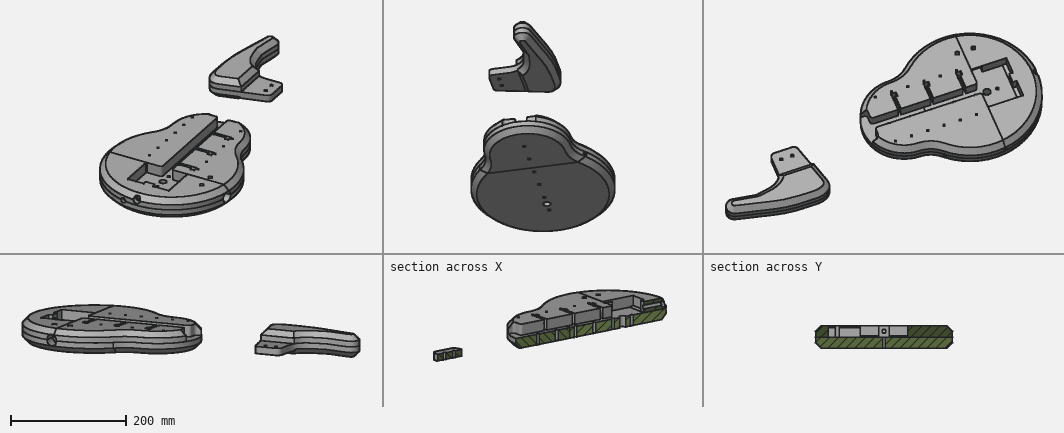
import cadquery as cq
import math

TOTAL_LENGTH = 604.0
BODY_WIDTH = 250.0
HEIGHT = 40.0
SEAM_Z = HEIGHT / 2
CHAMFER = HEIGHT / 4
WALL_TOP_Z = HEIGHT - CHAMFER
TAIL_Y = -TOTAL_LENGTH / 2
TIP_Y = TOTAL_LENGTH / 2

LOWER_RADIUS = BODY_WIDTH / 2
UPPER_RADIUS = 76.0
CENTRE_DISTANCE = 122.5
LOWER_CENTRE_Y = TAIL_Y + LOWER_RADIUS
UPPER_CENTRE_Y = LOWER_CENTRE_Y + CENTRE_DISTANCE
NECK_RADIUS = (CENTRE_DISTANCE**2 + UPPER_RADIUS**2 - LOWER_RADIUS**2) / (2 * (LOWER_RADIUS - UPPER_RADIUS))

UPPER_SEAM_Y = -194.5
LOWER_SEAM_Y = -94.0
SEAM_HOLE_DIAMETER = 4.0
SEAM_HOLE_DEPTH = 6.0
UPPER_SEAM_HOLE_Z = 26.0
LOWER_SEAM_HOLE_Z = (CHAMFER + SEAM_Z) / 2

CHANNEL_WIDTH = 20.0
CHANNEL_CORNER_RADIUS = 5.0
HEAD_RECESS_WIDTH = 60.0
HEAD_RECESS_Y = 3.5
POCKET_WIDTH = 82.0
POCKET_FRONT_Y = -260.0
POCKET_CORNER = 2.5
TONGUE_WIDTH = 18.0
TONGUE_LENGTH = 7.0
RAMP_LENGTH = 7.0
RAMP_HEIGHT = 2.0

CHANNEL_HOLE_COUNT = 6
CHANNEL_HOLE_FIRST_Y = -26.5
CHANNEL_HOLE_LAST_Y = -227.5
SCREW_HOLE_DIAMETER = 5.0
CENTRE_HOLE_DIAMETER = 12.5
CENTRE_HOLE_Y = -208.5
PIN_HOLE_X = 48.5
PIN_HOLE_COUNT = 6
PIN_HOLE_FIRST_Y = -19.5
PIN_HOLE_PITCH = 30.0
PIN_HOLE_DIAMETER = 3.0
CONTROL_HOLE_X = 81.0
CONTROL_HOLE_DIAMETER = 7.0
CONTROL_HOLE_REAR_Y = -184.0
CONTROL_HOLE_FRONT_Y = -214.5
PORT_DIAMETER = 12.5
PORT_DEPTH = 9.5
PORT_BORE_DIAMETER = 6.0
CABLE_HOLE_X = -28.5
CABLE_HOLE_DIAMETER = 9.5
CABLE_HOLE_DEPTH = 12.0
JACK_HOLE_DIAMETER = HEIGHT - 2 * CHAMFER
CAVITY_LENGTH = 55.5
CAVITY_FRONT_Y = -215.5
CAVITY_TOP_Z = 36.0

HOOK_SLOT_WIDTH = 5.5
HOOK_MOUTH_END_X = 17.0
HOOK_SLOT_END_X = 44.5
HOOK_SLOT_FLOOR_Z = 30.0
HOOK_SEAT_START_X = 37.0
HOOK_STEP_X = 41.0
HOOK_STEP_Z = 25.5
HOOK_SEAT_DROP = 6.5

WING_TIP_RADIUS = 15.0
WING_TIP_X = -66.5
WING_TIP_CENTRE_Y = TIP_Y - WING_TIP_RADIUS
WING_BLOCK_END_X = -34.5
WING_OUTER_LEAN = 13.2
WING_INNER_LEAN = 9.0
WING_OUTER_POINTS = ((-91.0, 247.0), (-100.0, 205.0), (-102.5, 159.0), (-98.0, 128.5), (-87.5, 118.5))
WING_FRONT_START = (-72.0, 118.5)
WING_INNER_POINTS = ((-35.0, 192.5), (-48.0, 203.5), (-57.5, 238.5))
WING_INNER_START_X = -19.5
TAB_END_X = 16.5
TAB_UNDERSIDE_Z = 7.0
TAB_CORNER_RADIUS = 8.5
TAB_FRONT_Y = 141.0
TAB_REAR_Y = 189.5
TAB_HOLE_YS = (154.0, 174.5)

FAR = TOTAL_LENGTH


def box(x0, x1, y0, y1, z0, z1):
    return cq.Workplane("XY").box(x1 - x0, y1 - y0, z1 - z0, centered=False).translate((x0, y0, z0))


def upright_hole(x, y, diameter, z0=0.0, z1=HEIGHT):
    return cq.Workplane("XY", origin=(x, y, z0)).circle(diameter / 2).extrude(z1 - z0)


def hole_along_y(x, z, diameter, y0, y1):
    return cq.Workplane("XZ", origin=(x, y0, z)).circle(diameter / 2).extrude(y0 - y1)


def hole_along_x(y, z, diameter, x0, x1):
    return cq.Workplane("YZ", origin=(x0, y, z)).circle(diameter / 2).extrude(x1 - x0)


def lower_circle_x(y):
    """Half width of the lower circle at a given Y."""
    return math.sqrt(LOWER_RADIUS**2 - (y - LOWER_CENTRE_Y) ** 2)



def body_outline(z):
    neck_x = UPPER_RADIUS + NECK_RADIUS
    share = LOWER_RADIUS / (LOWER_RADIUS + NECK_RADIUS)
    touch_x = neck_x * share
    touch_y = LOWER_CENTRE_Y + CENTRE_DISTANCE * share
    half_turn = math.atan2(CENTRE_DISTANCE, neck_x) / 2
    mid_x = neck_x - NECK_RADIUS * math.cos(half_turn)
    mid_y = UPPER_CENTRE_Y - NECK_RADIUS * math.sin(half_turn)
    return (
        cq.Workplane("XY", origin=(0, 0, z))
        .moveTo(-touch_x, touch_y)
        .threePointArc((0, TAIL_Y), (touch_x, touch_y))
        .threePointArc((mid_x, mid_y), (UPPER_RADIUS, UPPER_CENTRE_Y))
        .threePointArc((0, UPPER_CENTRE_Y + UPPER_RADIUS), (-UPPER_RADIUS, UPPER_CENTRE_Y))
        .threePointArc((-mid_x, mid_y), (-touch_x, touch_y))
        .close()
    )


def side_holes():
    """Holes that enter through the outer wall, some of them shared by the parts that meet there."""
    port = hole_along_y(0, WALL_TOP_Z, PORT_DIAMETER, TAIL_Y, TAIL_Y + PORT_DEPTH)
    port_bore = hole_along_y(0, WALL_TOP_Z, PORT_BORE_DIAMETER, TAIL_Y, UPPER_SEAM_Y)
    cable = hole_along_y(CABLE_HOLE_X, SEAM_Z, CABLE_HOLE_DIAMETER, TAIL_Y, TAIL_Y + CABLE_HOLE_DEPTH)
    jack_y = (CONTROL_HOLE_REAR_Y + CONTROL_HOLE_FRONT_Y) / 2
    jack_end_x = POCKET_WIDTH / 2 + CAVITY_LENGTH
    jack = hole_along_x(jack_y, SEAM_Z, JACK_HOLE_DIAMETER, jack_end_x, LOWER_RADIUS)
    holes = port.union(port_bore).union(cable).union(jack)
    for y, z in ((UPPER_SEAM_Y, UPPER_SEAM_HOLE_Z), (LOWER_SEAM_Y, LOWER_SEAM_HOLE_Z)):
        wall_x = -lower_circle_x(y)
        holes = holes.union(hole_along_x(y, z, SEAM_HOLE_DIAMETER, -LOWER_RADIUS, wall_x + SEAM_HOLE_DEPTH))
    return holes


def lower_body():
    plate = body_outline(0).extrude(SEAM_Z).faces("<Z").chamfer(CHAMFER)
    hole_step = (CHANNEL_HOLE_LAST_Y - CHANNEL_HOLE_FIRST_Y) / (CHANNEL_HOLE_COUNT - 1)
    for i in range(CHANNEL_HOLE_COUNT):
        plate = plate.cut(upright_hole(0, CHANNEL_HOLE_FIRST_Y + i * hole_step, SCREW_HOLE_DIAMETER))
    plate = plate.cut(upright_hole(0, CENTRE_HOLE_Y, CENTRE_HOLE_DIAMETER))
    return plate.cut(side_holes())


def front_plate():
    return lower_body().intersect(box(-FAR, FAR, -FAR, LOWER_SEAM_Y, 0, HEIGHT))


def rear_plate():
    return lower_body().intersect(box(-FAR, FAR, LOWER_SEAM_Y, FAR, 0, HEIGHT))


def upper_body():
    block = body_outline(SEAM_Z).extrude(HEIGHT - SEAM_Z).faces(">Z").chamfer(CHAMFER)
    for y in (CONTROL_HOLE_REAR_Y, CONTROL_HOLE_FRONT_Y):
        block = block.cut(upright_hole(CONTROL_HOLE_X, y, CONTROL_HOLE_DIAMETER, SEAM_Z))
    return block.cut(side_holes())


def pocket():
    """Rectangular pocket with small rear corners, a front tongue and a ramp along the floor's front edge."""
    half = POCKET_WIDTH / 2
    tongue_half = TONGUE_WIDTH / 2
    hollow = box(-half, half, POCKET_FRONT_Y, UPPER_SEAM_Y, SEAM_Z, HEIGHT)
    hollow = hollow.edges("|Z and >Y").chamfer(POCKET_CORNER)
    tongue = box(-tongue_half, tongue_half, POCKET_FRONT_Y, POCKET_FRONT_Y + TONGUE_LENGTH, SEAM_Z, HEIGHT)
    ramp = (
        cq.Workplane("YZ", origin=(-half, 0, 0))
        .moveTo(POCKET_FRONT_Y, SEAM_Z)
        .lineTo(POCKET_FRONT_Y + RAMP_LENGTH, SEAM_Z)
        .lineTo(POCKET_FRONT_Y, SEAM_Z + RAMP_HEIGHT)
        .close()
        .extrude(POCKET_WIDTH)
    )
    return hollow.cut(tongue).cut(ramp)


def cable_cavity():
    """Covered passage from the pocket's side wall to the jack hole."""
    start_x = POCKET_WIDTH / 2
    return box(start_x, start_x + CAVITY_LENGTH, CAVITY_FRONT_Y, UPPER_SEAM_Y, SEAM_Z, CAVITY_TOP_Z)


def front_block():
    block = upper_body().intersect(box(-FAR, FAR, -FAR, UPPER_SEAM_Y, 0, HEIGHT))
    port_bore = hole_along_y(0, WALL_TOP_Z, PORT_BORE_DIAMETER, TAIL_Y, UPPER_SEAM_Y)
    return block.cut(pocket()).cut(cable_cavity()).cut(port_bore)


def side_region(side):
    """Space of one side block: beside the channel and the head recess; side is -1 or 1."""
    channel_x = side * CHANNEL_WIDTH / 2
    recess_x = side * HEAD_RECESS_WIDTH / 2
    region = (
        cq.Workplane("XY")
        .moveTo(channel_x, UPPER_SEAM_Y)
        .lineTo(channel_x, HEAD_RECESS_Y)
        .lineTo(recess_x, HEAD_RECESS_Y)
        .lineTo(recess_x, FAR)
        .lineTo(side * FAR, FAR)
        .lineTo(side * FAR, UPPER_SEAM_Y)
        .close()
        .extrude(HEIGHT)
    )
    for x, y in ((channel_x, UPPER_SEAM_Y), (channel_x, HEAD_RECESS_Y), (recess_x, HEAD_RECESS_Y)):
        region = region.edges(cq.NearestToPointSelector((x, y, SEAM_Z))).fillet(CHANNEL_CORNER_RADIUS)
    return region


def side_block(side):
    block = upper_body().intersect(side_region(side))
    for i in range(PIN_HOLE_COUNT):
        y = PIN_HOLE_FIRST_Y - i * PIN_HOLE_PITCH
        block = block.cut(upright_hole(side * PIN_HOLE_X, y, PIN_HOLE_DIAMETER, SEAM_Z))
    return block


def hooked_slot(y):
    """Full-depth mouth at the channel, a shallow slot beyond it and a stepped seat at the end."""
    half = HOOK_SLOT_WIDTH / 2
    seat_front_y = y - HOOK_SEAT_DROP
    mouth = box(0, HOOK_MOUTH_END_X, y - half, y + half, SEAM_Z, HEIGHT)
    slot = box(0, HOOK_SLOT_END_X, y - half, y + half, HOOK_SLOT_FLOOR_Z, HEIGHT)
    seat = box(HOOK_SEAT_START_X, HOOK_SLOT_END_X, seat_front_y, y + half, SEAM_Z, HEIGHT)
    step = box(HOOK_STEP_X, HOOK_SLOT_END_X, seat_front_y, y + half, SEAM_Z, HOOK_STEP_Z)
    return mouth.union(slot).union(seat).cut(step)


def slotted_side_block():
    block = side_block(1)
    for i in range(1, PIN_HOLE_COUNT, 2):
        block = block.cut(hooked_slot(PIN_HOLE_FIRST_Y - i * PIN_HOLE_PITCH))
    return block



def wing_outline(z):
    outer_lean = math.radians(WING_OUTER_LEAN)
    inner_lean = math.radians(WING_INNER_LEAN)
    front_lean = math.atan2(TAB_FRONT_Y - WING_FRONT_START[1], TAB_END_X - WING_FRONT_START[0])
    outer_start = (
        WING_TIP_X - WING_TIP_RADIUS * math.cos(outer_lean),
        WING_TIP_CENTRE_Y + WING_TIP_RADIUS * math.sin(outer_lean),
    )
    inner_end = (
        WING_TIP_X + WING_TIP_RADIUS * math.cos(inner_lean),
        WING_TIP_CENTRE_Y - WING_TIP_RADIUS * math.sin(inner_lean),
    )
    outer_start_direction = (-math.sin(outer_lean), -math.cos(outer_lean))
    outer_end_direction = (math.cos(front_lean), math.sin(front_lean))
    inner_end_direction = (math.sin(inner_lean), math.cos(inner_lean))
    return (
        cq.Workplane("XY", origin=(0, 0, z))
        .moveTo(*outer_start)
        .spline(
            [*WING_OUTER_POINTS, WING_FRONT_START],
            tangents=[outer_start_direction, outer_end_direction],
            includeCurrent=True,
        )
        .lineTo(TAB_END_X, TAB_FRONT_Y)
        .lineTo(TAB_END_X, TAB_REAR_Y)
        .lineTo(WING_INNER_START_X, TAB_REAR_Y)
        .spline(
            [*WING_INNER_POINTS, inner_end],
            tangents=[(-1, 0), inner_end_direction],
            includeCurrent=True,
        )
        .threePointArc((WING_TIP_X, TIP_Y), outer_start)
        .close()
    )


def wing_plate(z0, z1):
    plate = wing_outline(z0).extrude(z1 - z0)
    return plate.edges("|Z and >X").fillet(TAB_CORNER_RADIUS)


def wing_section(z0, z1):
    """Wing without its tab."""
    return wing_plate(z0, z1).intersect(box(-FAR, WING_BLOCK_END_X, -FAR, FAR, z0, z1))


def wing_base():
    """Lower half of the wing, with the tab that carries the two screw holes."""
    base = wing_section(0, SEAM_Z).faces("<Z").chamfer(CHAMFER)
    tab_start_x = WING_BLOCK_END_X - (CHAMFER - TAB_UNDERSIDE_Z)
    tab = wing_plate(TAB_UNDERSIDE_Z, SEAM_Z).intersect(box(tab_start_x, FAR, -FAR, FAR, 0, HEIGHT))
    base = base.union(tab)
    for y in TAB_HOLE_YS:
        base = base.cut(upright_hole(0, y, SCREW_HOLE_DIAMETER))
    return base


def wing_cover():
    return wing_section(SEAM_Z, HEIGHT).faces(">Z").chamfer(CHAMFER)


result = cq.Compound.makeCompound([
    front_plate().val(),
    rear_plate().val(),
    front_block().val(),
    side_block(-1).val(),
    slotted_side_block().val(),
    wing_base().val(),
    wing_cover().val(),
])